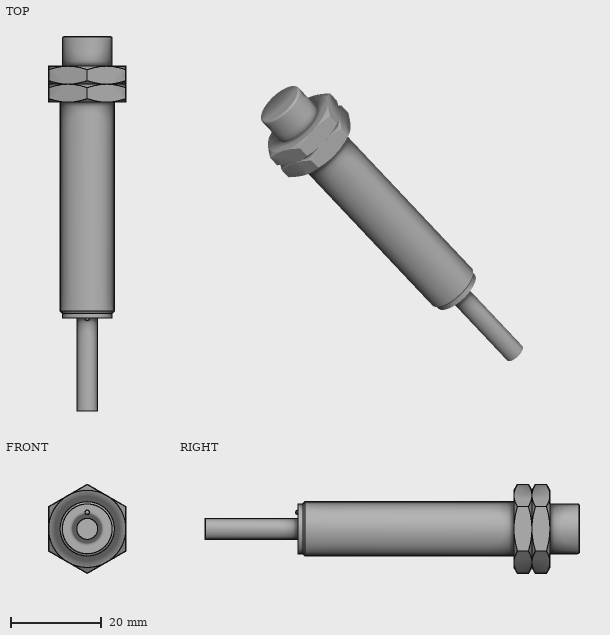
import cadquery as cq
import math

TOTAL_LENGTH = 82.5

CABLE_DIAMETER = 4.6
CABLE_LENGTH = 20.5

BODY_DIAMETER = 12.0
BODY_CHAMFER = 0.5
END_DIAMETER = 11.0
CAP_LENGTH = 1.1
HEAD_LENGTH = 6.5
HEAD_FILLET = 0.5

NUT_ACROSS_FLATS = 17.0
NUT_THICKNESS = 4.0
NUT_COUNT = 2
NUT_CHAMFER_ANGLE = 30.0

LED_RADIUS = 0.5
LED_OFFSET = 3.6

cap_start = CABLE_LENGTH
body_start = cap_start + CAP_LENGTH
head_start = TOTAL_LENGTH - HEAD_LENGTH
nuts_start = head_start - NUT_COUNT * NUT_THICKNESS


def revolve_about_y(points):
    """Revolve a closed (radius, y) outline around the sensor axis."""
    return cq.Workplane("XY").polyline(points).close().revolve(360, (0, 0, 0), (0, 1, 0))


def make_sensor():
    """Cable, rear cap, barrel and sensing head as one stepped round."""
    cable_radius = CABLE_DIAMETER / 2
    body_radius = BODY_DIAMETER / 2
    end_radius = END_DIAMETER / 2
    return revolve_about_y([
        (0, 0),
        (cable_radius, 0),
        (cable_radius, cap_start),
        (end_radius, cap_start),
        (end_radius, body_start),
        (body_radius, body_start + BODY_CHAMFER),
        (body_radius, head_start),
        (end_radius, head_start),
        (end_radius, TOTAL_LENGTH),
        (0, TOTAL_LENGTH),
    ]).faces(">Y").edges().fillet(HEAD_FILLET)


def make_nut(start):
    """Hexagon nut with corners up and down, both faces chamfered conically."""
    face_radius = NUT_ACROSS_FLATS / 2
    corner_radius = face_radius / math.cos(math.radians(30))
    chamfer_length = (corner_radius - face_radius) * math.tan(math.radians(NUT_CHAMFER_ANGLE))
    end = start + NUT_THICKNESS
    corners = [
        (corner_radius * math.sin(math.radians(60 * i)), corner_radius * math.cos(math.radians(60 * i)))
        for i in range(6)
    ]
    hexagon = (
        cq.Workplane("XZ", origin=(0, start, 0))
        .polyline(corners)
        .close()
        .extrude(-NUT_THICKNESS)
    )
    chamfer_envelope = revolve_about_y([
        (0, start),
        (face_radius, start),
        (corner_radius, start + chamfer_length),
        (corner_radius, end - chamfer_length),
        (face_radius, end),
        (0, end),
    ])
    return hexagon.intersect(chamfer_envelope)


def make_led():
    """Indicator dome, half sunk into the rear cap."""
    return cq.Workplane("XY").sphere(LED_RADIUS).translate((0, cap_start, LED_OFFSET))


result = make_sensor().union(make_led())
for nut_index in range(NUT_COUNT):
    result = result.union(make_nut(nuts_start + nut_index * NUT_THICKNESS))